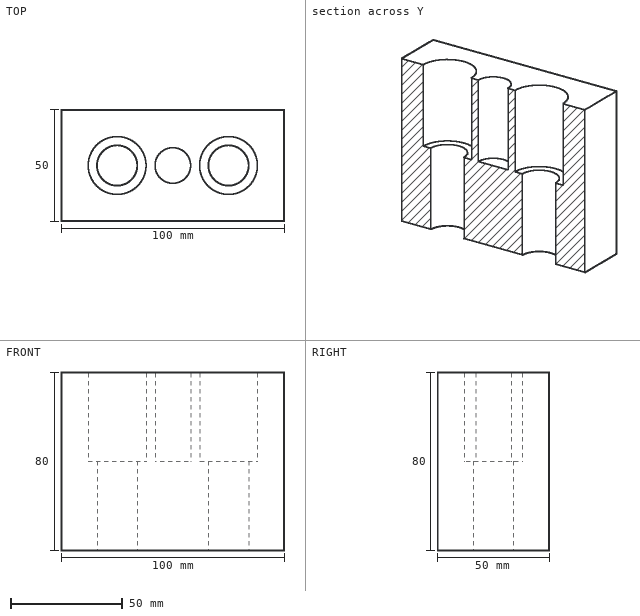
import cadquery as cq

length = 100.0
width = 50.0
height = 80.0

bolt_spacing = 50.0
bolt_diameter = 18.0
counterbore_diameter = 26.0
counterbore_depth = height / 2

center_diameter = 16.0
center_depth = height / 2


def make_block():
    """Plain block resting on the XY plane."""
    return cq.Workplane("XY").box(length, width, height, centered=(True, True, False))


def cut_bolt_holes(body):
    """Two through holes with deep counterbores from the top face."""
    positions = [(-bolt_spacing / 2, 0), (bolt_spacing / 2, 0)]
    return (
        body.faces(">Z")
        .workplane(origin=(0, 0, height))
        .pushPoints(positions)
        .cboreHole(bolt_diameter, counterbore_diameter, counterbore_depth)
    )


def cut_center_hole(body):
    """Blind hole on the block's vertical axis."""
    return (
        body.faces(">Z")
        .workplane(origin=(0, 0, height))
        .circle(center_diameter / 2)
        .cutBlind(-center_depth)
    )


result = cut_center_hole(cut_bolt_holes(make_block()))